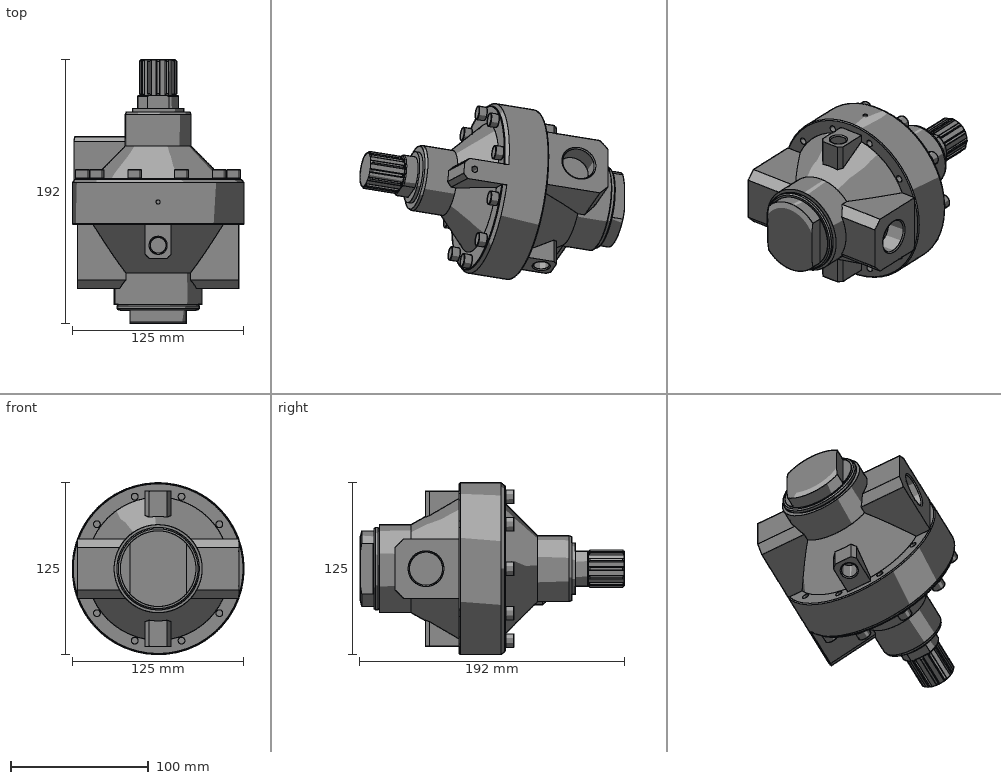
import cadquery as cq
import math


FLANGE_RADIUS = 62.5
FLANGE_THICKNESS = 33.0
FLANGE_FRONT_CHAMFER = 0.8
FLANGE_REAR_CHAMFER_RADIAL = 2.0
FLANGE_REAR_CHAMFER_AXIAL = 2.5
REAR_LAND_RADIUS = 60.0
REAR_LAND_HEIGHT = 0.6
REAR_FACE_Y = FLANGE_THICKNESS + REAR_LAND_HEIGHT
VENT_DIAMETER = 3.0
VENT_Y = 16.5
VENT_DEPTH = 5.0

FRONT_CONE_BASE_RADIUS = 52.0
FRONT_CONE_LENGTH = 35.0
BODY_RADIUS = 32.0
BODY_FRONT_Y = -58.0
RING_RADIUS = 30.0
RING_FRONT_Y = -62.0
RING_CHAMFER = 1.0
CAP_RADIUS = 27.5
CAP_FRONT_Y = -72.0
CAP_FACE_RADIUS = 23.0
CAP_CHAMFER_ANGLE = 15.0
CAP_FLATS = 41.0
CAP_SHOULDER_HEIGHT = 0.5

NECK_RADIUS = 24.0
NECK_START_Y = 57.0
NECK_END_Y = 82.0
NECK_CHAMFER_RADIAL = 0.8
NECK_CHAMFER_AXIAL = 2.0
COLLAR_RADIUS = 37.5 / 2
COLLAR_END_Y = 84.5

STEM_RADIUS = 15.0
STEM_FLATS = 25.6
STEM_END_Y = 94.0
STEM_CHAMFER = 0.8
KNOB_RADIUS = 12.4
KNOB_END_Y = 120.0
RIB_COUNT = 12
RIB_TIP_RADIUS = 13.65
RIB_BASE_WIDTH = 2.8
RIB_TIP_WIDTH = 1.7

PORT_BLOCK_LENGTH = 117.4
PORT_BLOCK_HEIGHT = 43.4
PORT_BLOCK_FRONT_Y = -46.5
PORT_BLOCK_CHAMFER = 6.2
PORT_DIAMETER = 24.12
PORT_MOUTH_DIAMETER = 26.0
PORT_Y = -24.1
PORT_DEPTH = 14.5

GAUGE_BOSS_WIDTH = 19.0
GAUGE_BOSS_REACH = 56.4
GAUGE_BOSS_FRONT_Y = -24.5
GAUGE_BOSS_CHAMFER = 3.0
GAUGE_HOLE_DIAMETER = 11.45
GAUGE_MOUTH_DIAMETER = 13.2
GAUGE_HOLE_Y = -15.0
GAUGE_HOLE_DEPTH = 18.0

BOLT_COUNT = 10
BOLT_CIRCLE_RADIUS = 55.0
BOLT_HEAD_DIAMETER = 10.0
BOLT_HEAD_HEIGHT = 6.4
BOLT_HEAD_CHAMFER = 0.4
THREAD_HOLE_DIAMETER = 4.92
THREAD_HOLE_DEPTH = 10.0
BOLT_PITCH_ANGLE = 360.0 / BOLT_COUNT

LUG_THICKNESS = 15.0
LUG_END_Y = 64.0
LUG_CHAMFER = 3.4
LUG_ANGLE = BOLT_PITCH_ANGLE / 2
LUG_HOLE_DIAMETER = 4.5
LUG_HOLE_Y = 56.0
LUG_HOLE_DEPTH = 15.0


def revolve_profile(points):
    """Turn (radius, y) points into a solid about the Y axis."""
    return cq.Workplane("XY").polyline(points).close().revolve(360, (0, 0, 0), (0, 1, 0))


def y_cylinder(radius, start_y, end_y, x=0.0, z=0.0):
    """Cylinder parallel to Y between two Y positions."""
    axis = cq.Vector(0, 1, 0)
    return cq.Workplane(cq.Solid.makeCylinder(radius, end_y - start_y, cq.Vector(x, start_y, z), axis))


def block(x_range, y_range, z_range):
    """Axis-aligned box given by its three coordinate ranges."""
    ranges = (x_range, y_range, z_range)
    sizes = [high - low for low, high in ranges]
    lows = [low for low, high in ranges]
    return cq.Workplane("XY").box(*sizes, centered=False).translate(tuple(lows))


def blind_hole(mouth_centre, direction, diameter, depth, mouth_diameter):
    """Cutter for a blind hole with a 45 degree countersink at its mouth."""
    centre = cq.Vector(*mouth_centre)
    inward = cq.Vector(*direction)
    bore = cq.Solid.makeCylinder(diameter / 2, depth, centre, inward)
    sink_depth = (mouth_diameter - diameter) / 2
    sink = cq.Solid.makeCone(mouth_diameter / 2, diameter / 2, sink_depth, centre, inward)
    return cq.Workplane(bore).union(cq.Workplane(sink))


def make_flange():
    rear_radius = FLANGE_RADIUS - FLANGE_REAR_CHAMFER_RADIAL
    return revolve_profile([
        (0, 0),
        (FLANGE_RADIUS - FLANGE_FRONT_CHAMFER, 0),
        (FLANGE_RADIUS, FLANGE_FRONT_CHAMFER),
        (FLANGE_RADIUS, FLANGE_THICKNESS - FLANGE_REAR_CHAMFER_AXIAL),
        (rear_radius, FLANGE_THICKNESS),
        (REAR_LAND_RADIUS, FLANGE_THICKNESS),
        (REAR_LAND_RADIUS, REAR_FACE_Y),
        (0, REAR_FACE_Y),
    ])


def make_front_body():
    ring_face_radius = RING_RADIUS - RING_CHAMFER
    return revolve_profile([
        (0, 0),
        (FRONT_CONE_BASE_RADIUS, 0),
        (BODY_RADIUS, -FRONT_CONE_LENGTH),
        (BODY_RADIUS, BODY_FRONT_Y),
        (ring_face_radius, BODY_FRONT_Y),
        (RING_RADIUS, BODY_FRONT_Y - RING_CHAMFER),
        (RING_RADIUS, RING_FRONT_Y + RING_CHAMFER),
        (ring_face_radius, RING_FRONT_Y),
        (0, RING_FRONT_Y),
    ])


def make_cap():
    """Round cap with two flats that stop at a thin round shoulder."""
    chamfer_length = (CAP_RADIUS - CAP_FACE_RADIUS) * math.tan(math.radians(CAP_CHAMFER_ANGLE))
    disc = revolve_profile([
        (0, RING_FRONT_Y),
        (CAP_RADIUS, RING_FRONT_Y),
        (CAP_RADIUS, CAP_FRONT_Y + chamfer_length),
        (CAP_FACE_RADIUS, CAP_FRONT_Y),
        (0, CAP_FRONT_Y),
    ])
    flats = block(
        (-CAP_FLATS / 2, CAP_FLATS / 2),
        (CAP_FRONT_Y, RING_FRONT_Y),
        (-CAP_RADIUS, CAP_RADIUS),
    )
    shoulder = y_cylinder(CAP_RADIUS, RING_FRONT_Y - CAP_SHOULDER_HEIGHT, RING_FRONT_Y)
    return disc.intersect(flats).union(shoulder)


def make_rear_body():
    cone_base_radius = NECK_RADIUS + NECK_START_Y - FLANGE_THICKNESS
    return revolve_profile([
        (0, FLANGE_THICKNESS),
        (cone_base_radius, FLANGE_THICKNESS),
        (NECK_RADIUS, NECK_START_Y),
        (NECK_RADIUS, NECK_END_Y - NECK_CHAMFER_AXIAL),
        (NECK_RADIUS - NECK_CHAMFER_RADIAL, NECK_END_Y),
        (COLLAR_RADIUS, NECK_END_Y),
        (COLLAR_RADIUS, COLLAR_END_Y),
        (0, COLLAR_END_Y),
    ])


def make_stem():
    stem = y_cylinder(STEM_RADIUS, COLLAR_END_Y, STEM_END_Y).faces(">Y").chamfer(STEM_CHAMFER)
    flats = block(
        (-STEM_RADIUS, STEM_RADIUS),
        (COLLAR_END_Y, STEM_END_Y),
        (-STEM_FLATS / 2, STEM_FLATS / 2),
    )
    return stem.intersect(flats)


def make_knob():
    """Plain cylinder with tapered ribs whose ends are chamfered down to it."""
    rib_chamfer = RIB_TIP_RADIUS - KNOB_RADIUS
    knob = y_cylinder(KNOB_RADIUS, STEM_END_Y, KNOB_END_Y)
    envelope = y_cylinder(RIB_TIP_RADIUS, STEM_END_Y, KNOB_END_Y).edges().chamfer(rib_chamfer)
    tapered_rib = (
        cq.Workplane("XZ", origin=(0, STEM_END_Y, 0))
        .polyline([
            (0, -RIB_BASE_WIDTH / 2),
            (KNOB_RADIUS, -RIB_BASE_WIDTH / 2),
            (RIB_TIP_RADIUS, -RIB_TIP_WIDTH / 2),
            (RIB_TIP_RADIUS, RIB_TIP_WIDTH / 2),
            (KNOB_RADIUS, RIB_BASE_WIDTH / 2),
            (0, RIB_BASE_WIDTH / 2),
        ])
        .close()
        .extrude(STEM_END_Y - KNOB_END_Y)
        .intersect(envelope)
    )
    for index in range(RIB_COUNT):
        rib = tapered_rib.rotate((0, 0, 0), (0, 1, 0), index * 360.0 / RIB_COUNT)
        knob = knob.union(rib)
    return knob


def make_port_block():
    half_length = PORT_BLOCK_LENGTH / 2
    half_height = PORT_BLOCK_HEIGHT / 2
    body = block((-half_length, half_length), (PORT_BLOCK_FRONT_Y, 0), (-half_height, half_height))
    return body.faces("<Y").edges("|X").chamfer(PORT_BLOCK_CHAMFER)


def make_gauge_bosses():
    half_width = GAUGE_BOSS_WIDTH / 2
    bosses = block(
        (-half_width, half_width),
        (GAUGE_BOSS_FRONT_Y, 0),
        (-GAUGE_BOSS_REACH, GAUGE_BOSS_REACH),
    )
    return bosses.faces("<Y").edges("|Z").chamfer(GAUGE_BOSS_CHAMFER)


def make_lug():
    plate = block((-FLANGE_RADIUS, 0), (0, LUG_END_Y), (-LUG_THICKNESS / 2, LUG_THICKNESS / 2))
    plate = plate.faces(">Y").edges("|X").chamfer(LUG_CHAMFER)
    plate = plate.intersect(y_cylinder(FLANGE_RADIUS, FLANGE_THICKNESS / 2, LUG_END_Y))
    hole = cq.Solid.makeCylinder(
        LUG_HOLE_DIAMETER / 2,
        LUG_HOLE_DEPTH,
        cq.Vector(-FLANGE_RADIUS, LUG_HOLE_Y, 0),
        cq.Vector(1, 0, 0),
    )
    return plate.cut(cq.Workplane(hole)).rotate((0, 0, 0), (0, 1, 0), -LUG_ANGLE)


def bolt_positions():
    angles = [math.radians(index * BOLT_PITCH_ANGLE) for index in range(BOLT_COUNT)]
    return [(BOLT_CIRCLE_RADIUS * math.cos(a), BOLT_CIRCLE_RADIUS * math.sin(a)) for a in angles]


def add_bolt_heads(part):
    head_end_y = REAR_FACE_Y + BOLT_HEAD_HEIGHT
    for x, z in bolt_positions():
        head = y_cylinder(BOLT_HEAD_DIAMETER / 2, REAR_FACE_Y, head_end_y, x, z)
        part = part.union(head.edges("%CIRCLE").chamfer(BOLT_HEAD_CHAMFER))
    return part


def cut_thread_holes(part):
    """Drill the flange front face at each bolt that the port block leaves clear."""
    for x, z in bolt_positions():
        if abs(z) > PORT_BLOCK_HEIGHT / 2:
            part = part.cut(y_cylinder(THREAD_HOLE_DIAMETER / 2, 0, THREAD_HOLE_DEPTH, x, z))
    return part


def cut_ports(part):
    for side in (-1, 1):
        mouth = (side * PORT_BLOCK_LENGTH / 2, PORT_Y, 0)
        part = part.cut(blind_hole(mouth, (-side, 0, 0), PORT_DIAMETER, PORT_DEPTH, PORT_MOUTH_DIAMETER))
    return part


def cut_gauge_holes(part):
    for side in (-1, 1):
        mouth = (0, GAUGE_HOLE_Y, side * GAUGE_BOSS_REACH)
        hole = blind_hole(mouth, (0, 0, -side), GAUGE_HOLE_DIAMETER, GAUGE_HOLE_DEPTH, GAUGE_MOUTH_DIAMETER)
        part = part.cut(hole)
    return part


def cut_vent(part):
    vent = cq.Solid.makeCylinder(
        VENT_DIAMETER / 2,
        VENT_DEPTH,
        cq.Vector(0, VENT_Y, FLANGE_RADIUS),
        cq.Vector(0, 0, -1),
    )
    return part.cut(cq.Workplane(vent))


result = make_flange()
result = result.union(make_front_body())
result = result.union(make_cap())
result = result.union(make_rear_body())
result = result.union(make_stem())
result = result.union(make_knob())
result = result.union(make_port_block())
result = result.union(make_gauge_bosses())
result = result.union(make_lug())
result = add_bolt_heads(result)
result = cut_thread_holes(result)
result = cut_ports(result)
result = cut_gauge_holes(result)
result = cut_vent(result)